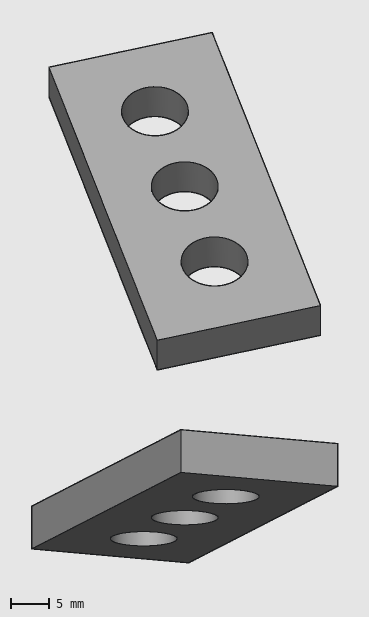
import cadquery as cq

length = 50.8
width = 22.25
thickness = 5.75

hole_diameter = 8.75
hole_pitch = 13.95
hole_count = 3

plate = cq.Workplane("XY").box(length, width, thickness)

result = (
    plate.faces(">Z")
    .workplane()
    .rarray(hole_pitch, 0.5, hole_count, 1)
    .hole(hole_diameter)
)